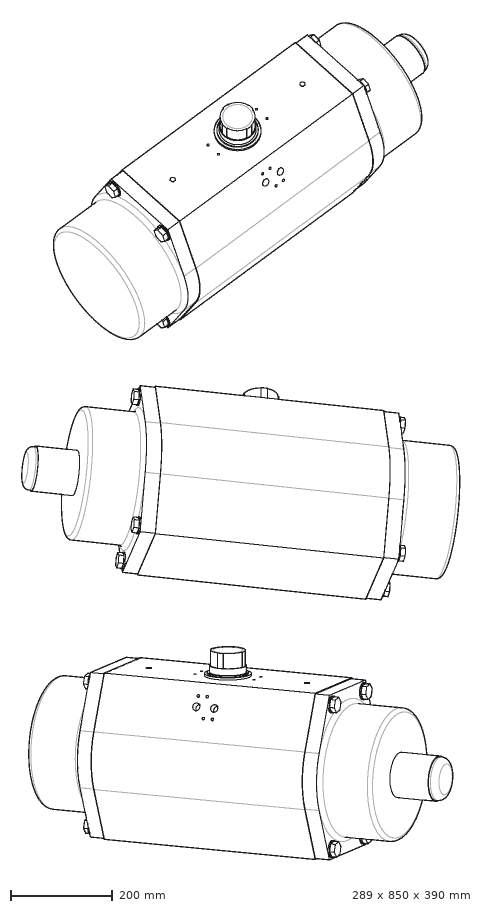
import cadquery as cq
import math

flank_radius = 144.5
half_height = 167.5
slope_angle = 23.7

body_half_length = 230.0
flange_half_length = 261.0
cylinder_half_length = 375.0
stop_end = 475.0

flange_inset = 2.0
cylinder_diameter = 265.0
cylinder_edge_fillet = 8.0
cylinder_root_fillet = 9.0

stop_diameter = 90.0
stop_cap_diameter = 87.0
stop_cap_length = 17.0
stop_cap_fillet = 13.0

bolt_x = 72.0
bolt_z = 145.0
washer_diameter = 34.0
washer_thickness = 2.5
bolt_head_corner_diameter = 31.5
bolt_head_height = 10.0
bolt_head_turn = 11

knob_sunk_depth = 8.5
knob_base_diameter = 93.0
knob_collar_diameter = 82.0
knob_base_height = 4.0
knob_collar_height = 7.0
knob_skirt_diameter = 73.0
knob_skirt_top = 20.0
knob_diameter = 69.0
knob_top = 51.0
dome_diameter = 59.0
dome_height = 4.0
knob_key_width = 13.0
knob_key_projection = 1.0

drill_point_angle = 118
end_hole_diameter = 10.0
end_hole_y = 172.5
end_hole_depth = 15.0
mount_hole_diameter = 4.2
mount_hole_x = 15.0
mount_hole_y = 65.0
mount_hole_depth = 10.0
port_diameter = 15.0
port_y = 19.5
port_depth = 15.0
port_height_on_slope = 70.0
valve_hole_diameter = 5.0
valve_hole_offset = 22.0
valve_hole_depth = 10.0

slope_cos = math.cos(math.radians(slope_angle))
slope_sin = math.sin(math.radians(slope_angle))


def housing_section(inset, half_length):
    """Prism of the body cross-section, shrunk by inset and centred along Y."""
    radius = flank_radius - inset
    height = half_height - inset
    corner_x = (radius - height * slope_sin) / slope_cos
    tangent_x = radius * slope_cos
    tangent_z = radius * slope_sin
    return (
        cq.Workplane("XZ")
        .moveTo(-corner_x, height)
        .lineTo(corner_x, height)
        .lineTo(tangent_x, tangent_z)
        .threePointArc((radius, 0), (tangent_x, -tangent_z))
        .lineTo(corner_x, -height)
        .lineTo(-corner_x, -height)
        .lineTo(-tangent_x, -tangent_z)
        .threePointArc((-radius, 0), (-tangent_x, tangent_z))
        .close()
        .extrude(half_length, both=True)
    )


def plane_along_y(y, side):
    """Plane across Y at y * side, facing outwards (side is +1 or -1)."""
    return cq.Plane(origin=(0, y * side, 0), xDir=(1, 0, 0), normal=(0, side, 0))


def end_cylinder(side):
    """Cylinder on a flange, rounded at its outer edge and flared at its root."""
    radius = cylinder_diameter / 2
    arc_mid = 1 - math.sqrt(0.5)
    root = cylinder_root_fillet
    edge = cylinder_edge_fillet
    start = flange_half_length
    end = cylinder_half_length
    profile = (
        cq.Workplane("XY")
        .moveTo(0, 0)
        .lineTo(radius, 0)
        .lineTo(radius + root, start)
        .threePointArc((radius + root * arc_mid, start + root * arc_mid), (radius, start + root))
        .lineTo(radius, end - edge)
        .threePointArc((radius - edge * arc_mid, end - edge * arc_mid), (radius - edge, end))
        .lineTo(0, end)
        .close()
        .revolve(360, (0, 0, 0), (0, 1, 0))
    )
    return profile if side > 0 else profile.mirror("XZ")


def flange_bolts(side):
    """Four hexagon heads with washers on one flange."""
    points = [(x, z) for x in (-bolt_x, bolt_x) for z in (-bolt_z, bolt_z)]
    bolts = (
        cq.Workplane(plane_along_y(flange_half_length, side))
        .pushPoints(points)
        .circle(washer_diameter / 2)
        .extrude(washer_thickness)
    )
    head = (
        cq.Workplane(plane_along_y(flange_half_length + washer_thickness, side))
        .polygon(6, bolt_head_corner_diameter)
        .extrude(bolt_head_height)
        .rotate((0, 0, 0), (0, 1, 0), bolt_head_turn)
    )
    for x, z in points:
        bolts = bolts.union(head.translate((x, 0, z)))
    return bolts


def travel_stop():
    """Round stop housing with a slightly narrower, rounded cap."""
    shoulder = stop_end - stop_cap_length
    barrel = (
        cq.Workplane(plane_along_y(flange_half_length, 1))
        .circle(stop_diameter / 2)
        .extrude(shoulder - flange_half_length)
    )
    cap = (
        cq.Workplane(plane_along_y(shoulder, 1))
        .circle(stop_cap_diameter / 2)
        .extrude(stop_cap_length)
        .faces(">Y")
        .edges()
        .fillet(stop_cap_fillet)
    )
    return barrel.union(cap)


def indicator_knob():
    """Stepped knob with a domed top and four shallow keys around its rim."""
    rim = knob_diameter / 2
    dome_radius = dome_diameter / 2
    sphere_radius = (dome_radius**2 + dome_height**2) / (2 * dome_height)
    mid_x = dome_radius / 2
    mid_z = knob_top + dome_height - sphere_radius + math.sqrt(sphere_radius**2 - mid_x**2)
    knob = (
        cq.Workplane("XZ")
        .moveTo(0, -knob_sunk_depth)
        .lineTo(knob_base_diameter / 2, -knob_sunk_depth)
        .lineTo(knob_base_diameter / 2, knob_base_height)
        .lineTo(knob_collar_diameter / 2, knob_base_height)
        .lineTo(knob_collar_diameter / 2, knob_collar_height)
        .lineTo(knob_skirt_diameter / 2, knob_collar_height)
        .lineTo(knob_skirt_diameter / 2, knob_skirt_top)
        .lineTo(rim, knob_skirt_top)
        .lineTo(rim, knob_top)
        .lineTo(dome_radius, knob_top)
        .threePointArc((mid_x, mid_z), (0, knob_top + dome_height))
        .close()
        .revolve(360, (0, 0, 0), (0, 1, 0))
    )
    keys = (
        cq.Workplane("XY", origin=(0, 0, knob_skirt_top))
        .polarArray(rim, 0, 360, 4)
        .rect(2 * knob_key_projection, knob_key_width)
        .extrude(knob_top - knob_skirt_top)
    )
    return knob.union(keys).translate((0, 0, half_height))


def drill_holes(part, plane, points, diameter, depth):
    """Cut blind holes with conical tips into the part, entering against the plane normal."""
    radius = diameter / 2
    tip = radius / math.tan(math.radians(drill_point_angle / 2))
    drill = (
        cq.Workplane("XZ")
        .polyline([(0, 0), (radius, 0), (radius, -depth), (0, -depth - tip)])
        .close()
        .revolve(360, (0, 0, 0), (0, 1, 0))
        .val()
    )
    for x, y in points:
        part = part.cut(cq.Workplane(drill.moved(plane.location * cq.Location(cq.Vector(x, y, 0)))))
    return part


result = housing_section(0, body_half_length).union(housing_section(flange_inset, flange_half_length))
for end_side in (-1, 1):
    result = result.union(end_cylinder(end_side))
    result = result.union(flange_bolts(end_side))
result = result.union(travel_stop())
result = result.union(indicator_knob())

top_plane = cq.Plane(origin=(0, 0, half_height), xDir=(1, 0, 0), normal=(0, 0, 1))
end_hole_points = [(0, -end_hole_y), (0, end_hole_y)]
mount_hole_points = [(x, y) for x in (-mount_hole_x, mount_hole_x) for y in (-mount_hole_y, mount_hole_y)]
result = drill_holes(result, top_plane, end_hole_points, end_hole_diameter, end_hole_depth)
result = drill_holes(result, top_plane, mount_hole_points, mount_hole_diameter, mount_hole_depth)

port_plane = cq.Plane(
    origin=(
        flank_radius * slope_cos - port_height_on_slope * slope_sin,
        0,
        flank_radius * slope_sin + port_height_on_slope * slope_cos,
    ),
    xDir=(slope_sin, 0, -slope_cos),
    normal=(slope_cos, 0, slope_sin),
)
port_points = [(0, -port_y), (0, port_y)]
valve_hole_points = [
    (valve_hole_offset, port_y),
    (valve_hole_offset, 0),
    (-valve_hole_offset, 0),
    (-valve_hole_offset, -port_y),
]
result = drill_holes(result, port_plane, port_points, port_diameter, port_depth)
result = drill_holes(result, port_plane, valve_hole_points, valve_hole_diameter, valve_hole_depth)